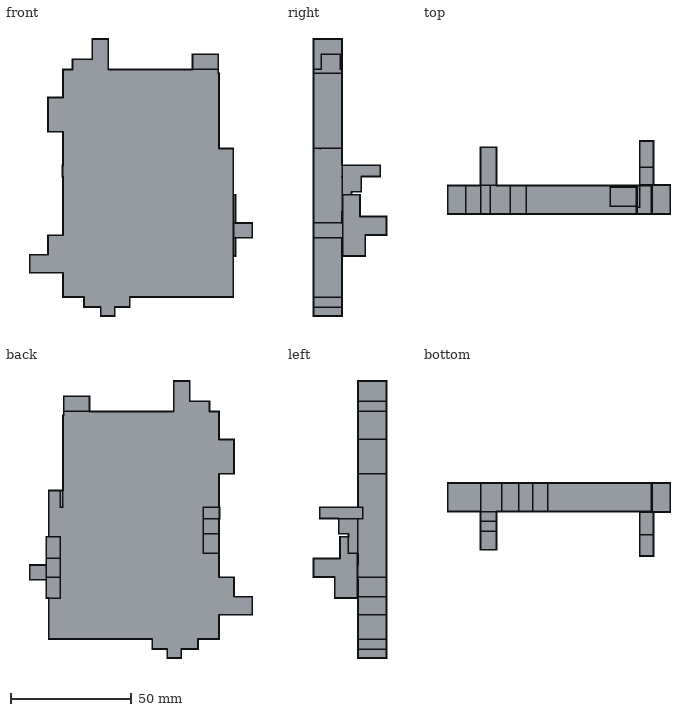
import cadquery as cq

height = 115.0
depth = 30.5

housing_depth = 12.0
plate_left = 13.8
plate_right = 84.5
shoulder_x = 78.7
plate_bottom = 7.8
plate_top = 102.4
shoulder_z = 69.6
corner_relief_width = 0.3
corner_relief_height = 1.6

side_tab_left = 7.6
upper_tab_bottom = 76.5
upper_tab_top = 90.8
lower_tab_bottom = 18.0
lower_tab_step = 25.5
lower_tab_top = 33.6
crest_left = 17.7
crest_step_x = 26.0
crest_right = 32.7
crest_step_z = 106.6
base_left = 22.5
base_right = 41.6
base_step_z = 3.7
nib_left = 29.5
nib_right = 35.4

block_length = 10.8
block_height = 6.3
block_front = 3.2
block_depth = 8.0

slot_front = 3.0
slot_depth = 6.9

lever_overhang = 0.2
lever_right = 20.4
lever_inset = 2.1
lever_front = housing_depth - lever_inset
lever_back = 27.8
lever_bottom = 57.9
lever_top = 62.7
foot_back = 20.0
foot_step_z = 51.5
foot_toe_back = 15.9
foot_bottom = 43.5

key_gap = 0.2
key_left = 79.7
key_right = 85.6
key_bottom = 24.8
key_top = 50.4
key_lower_back = 21.6
key_upper_back = 19.4
arm_bottom = 33.6
arm_top = 41.4
thumb_left = plate_right + key_gap
thumb_right = 92.5
thumb_bottom = 32.4
thumb_top = 38.6


def box(x_min, x_max, y_min, y_max, z_min, z_max):
    """Rectangular block between the given limits."""
    size = (x_max - x_min, y_max - y_min, z_max - z_min)
    return cq.Workplane("XY").box(*size, centered=False).translate((x_min, y_min, z_min))


def side_profile(points, x_min, x_max):
    """Extrude a closed (y, z) outline along X."""
    profile = cq.Workplane("YZ", origin=(x_min, 0, 0)).polyline(points).close()
    return profile.extrude(x_max - x_min)


def make_lever():
    left = plate_left - lever_overhang
    bar = box(left, lever_right, lever_front, lever_back, lever_bottom, lever_top)
    foot = side_profile(
        [
            (housing_depth, foot_bottom),
            (foot_toe_back, foot_bottom),
            (foot_toe_back, foot_step_z),
            (foot_back, foot_step_z),
            (foot_back, lever_bottom),
            (housing_depth, lever_bottom),
        ],
        plate_left,
        lever_right,
    )
    return bar.union(foot)


def make_key():
    front = housing_depth + key_gap
    body = side_profile(
        [
            (front, key_bottom),
            (key_lower_back, key_bottom),
            (key_lower_back, arm_bottom),
            (depth, arm_bottom),
            (depth, arm_top),
            (key_upper_back, arm_top),
            (key_upper_back, key_top),
            (front, key_top),
        ],
        key_left,
        key_right,
    )
    thumb = box(thumb_left, thumb_right, 0, front, thumb_bottom, thumb_top)
    return body.union(thumb)


def make_housing(lever):
    relief_x = shoulder_x - corner_relief_width
    relief_z = plate_top - corner_relief_height
    outline = [
        (plate_left, plate_bottom),
        (base_left, plate_bottom),
        (base_left, base_step_z),
        (nib_left, base_step_z),
        (nib_left, 0),
        (nib_right, 0),
        (nib_right, base_step_z),
        (base_right, base_step_z),
        (base_right, plate_bottom),
        (plate_right, plate_bottom),
        (plate_right, shoulder_z),
        (shoulder_x, shoulder_z),
        (shoulder_x, relief_z),
        (relief_x, relief_z),
        (relief_x, plate_top),
        (crest_right, plate_top),
        (crest_right, height),
        (crest_step_x, height),
        (crest_step_x, crest_step_z),
        (crest_left, crest_step_z),
        (crest_left, plate_top),
        (plate_left, plate_top),
        (plate_left, upper_tab_top),
        (side_tab_left, upper_tab_top),
        (side_tab_left, upper_tab_bottom),
        (plate_left, upper_tab_bottom),
        (plate_left, lower_tab_top),
        (side_tab_left, lower_tab_top),
        (side_tab_left, lower_tab_step),
        (0, lower_tab_step),
        (0, lower_tab_bottom),
        (plate_left, lower_tab_bottom),
    ]
    plate = cq.Workplane("XZ").polyline(outline).close().extrude(-housing_depth)
    block = box(
        relief_x - block_length, relief_x,
        block_front, block_front + block_depth,
        plate_top, plate_top + block_height,
    )
    slot = box(shoulder_x, key_left, slot_front, housing_depth, shoulder_z - slot_depth, shoulder_z)
    return plate.union(block).cut(slot).cut(lever)


lever = make_lever()
key = make_key()
housing = make_housing(lever)

result = cq.Compound.makeCompound([housing.val(), lever.val(), key.val()])